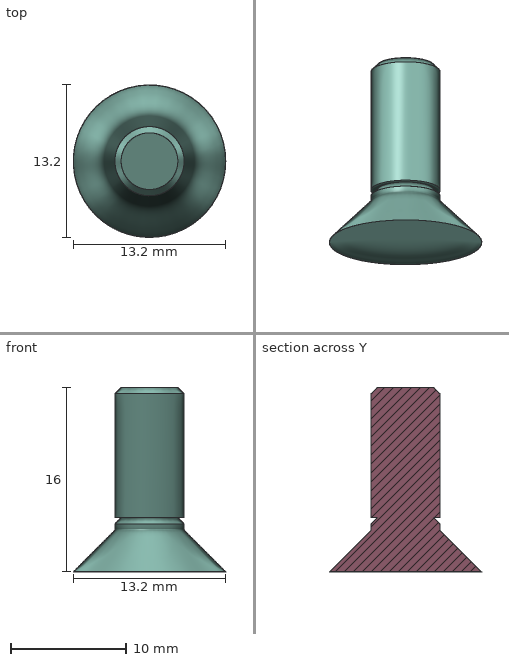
import cadquery as cq
import math


total_length = 16.0
thread_diameter = 6.0
thread_pitch = 1.0
head_diameter = 13.23
head_cone_angle = 90.0
neck_fillet_radius = 0.25

shank_radius = thread_diameter / 2
head_radius = head_diameter / 2
thread_depth = 5 / 8 * math.sqrt(3) / 2 * thread_pitch
core_radius = shank_radius - thread_depth

cone_half_angle = math.radians(head_cone_angle / 2)
cone_height = (head_radius - shank_radius) / math.tan(cone_half_angle)
tangent_length = neck_fillet_radius * math.tan(cone_half_angle / 2)
blend_top_z = cone_height + tangent_length
blend_bottom_z = cone_height - tangent_length * math.cos(cone_half_angle)
blend_bottom_radius = shank_radius + tangent_length * math.sin(cone_half_angle)
blend_middle_radius = shank_radius + neck_fillet_radius * (1 - math.cos(cone_half_angle / 2))
blend_middle_z = blend_top_z - neck_fillet_radius * math.sin(cone_half_angle / 2)

thread_start_z = blend_top_z + thread_pitch
relief_start_z = thread_start_z - thread_depth
tip_chamfer_z = total_length - thread_depth


def make_screw():
    """Revolve the half section (radius, z) about the screw axis."""
    half_section = (
        cq.Workplane("XZ")
        .moveTo(0, 0)
        .lineTo(head_radius, 0)
        .lineTo(blend_bottom_radius, blend_bottom_z)
        .threePointArc((blend_middle_radius, blend_middle_z), (shank_radius, blend_top_z))
        .lineTo(shank_radius, relief_start_z)
        .lineTo(core_radius, thread_start_z)
        .lineTo(shank_radius, thread_start_z)
        .lineTo(shank_radius, tip_chamfer_z)
        .lineTo(core_radius, total_length)
        .lineTo(0, total_length)
        .close()
    )
    return half_section.revolve(360, (0, 0, 0), (0, 1, 0))


result = make_screw()